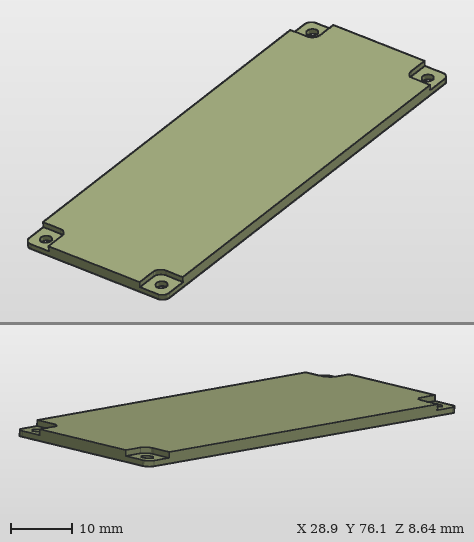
import cadquery as cq
import math

overall_length = 76.1
width = 28.9
thickness = 2.0
tilt_angle = 5.0
corner_radius = 1.3

recess_size = 5.0
recess_depth = 1.0
recess_corner_radius = 1.45
hole_diameter = 2.0
hole_inset = recess_size / 2

tilt = math.radians(tilt_angle)
length = (overall_length - thickness * math.sin(tilt)) / math.cos(tilt)

corner_signs = [(sx, sy) for sx in (-1, 1) for sy in (-1, 1)]


def make_plate():
    plate = cq.Workplane("XY").box(width, length, thickness)
    return plate.edges("|Z").fillet(corner_radius)


def make_corner_recess(sign_x, sign_y):
    """Block that clears one corner: twice the recess size, centred on the plate corner."""
    return (
        cq.Workplane("XY", origin=(0, 0, thickness / 2 - recess_depth))
        .center(sign_x * width / 2, sign_y * length / 2)
        .rect(2 * recess_size, 2 * recess_size)
        .extrude(recess_depth)
        .edges("|Z")
        .fillet(recess_corner_radius)
    )


def make_screw_holes():
    centers = [
        (sx * (width / 2 - hole_inset), sy * (length / 2 - hole_inset))
        for sx, sy in corner_signs
    ]
    return (
        cq.Workplane("XY")
        .pushPoints(centers)
        .circle(hole_diameter / 2)
        .extrude(thickness, both=True)
    )


plate = make_plate()
for sign_x, sign_y in corner_signs:
    plate = plate.cut(make_corner_recess(sign_x, sign_y))
plate = plate.cut(make_screw_holes())

result = plate.rotate((0, 0, 0), (1, 0, 0), tilt_angle)